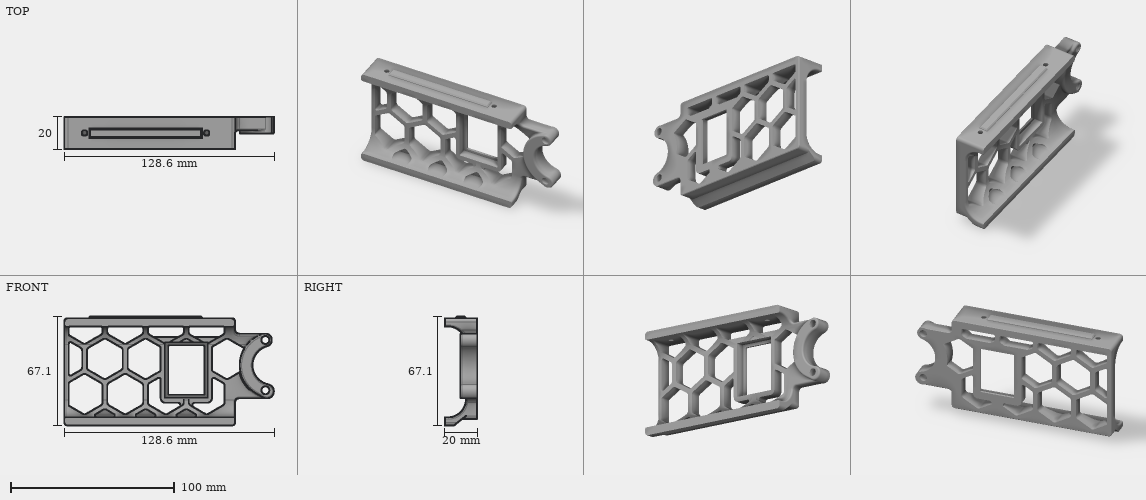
import cadquery as cq
import math

overall_length = 128.6
body_length = 104.8
body_depth = 20.0
body_top = 65.9
back_bottom = 4.0
slope_back_y = 10.5
slope_front_y = 5.5
wall_front = 12.9
lip_thickness = 5.1
cove_radius = 10.8
corner_radius = 2.0
back_chamfer = 0.4
small_radius = 1.0
foot_radius = 0.6

tolerance = 0.06

channel_low = lip_thickness
channel_high = body_top - lip_thickness
cove_front = wall_front - cove_radius

hex_pitch = 25.0
hex_flats = 21.9
cells_per_row = 4
hex_radius = 2.0
hex_border = 2.8
row_pitch = hex_pitch * math.sqrt(3) / 2
middle_row_z = 40.9
outer_row_x = 12.5
middle_row_x = outer_row_x - hex_pitch / 2

frame_column = 3
frame_x = middle_row_x + frame_column * hex_pitch
frame_half_width = 15.8
frame_low = 13.9
frame_high = 54.4
frame_radius = 3.1
crosspiece_half_width = 20.1
crosspiece_low = 51.0
foot_half_width = 3.9
foot_low = 11.8
recess_width = 26.4
recess_low = 17.0
recess_high = 51.1
recess_floor = 18.5
window_width = 22.1
window_low = 18.9
window_high = 49.1
window_radius = 0.5

pad_length = 69.2
pad_width = 5.9
pad_height = 1.2
pad_chamfer = 0.8
pad_y = 9.8
screw_diameter = 3.3
screw_y = 10.0
cove_top_clear = channel_high - cove_radius
screw_spacing = (cells_per_row - 1) * hex_pitch
pad_x = outer_row_x + screw_spacing / 2

crescent_z = 37.0
crescent_inner = 12.0
crescent_outer = 20.0
crescent_x = 127.5
crescent_front = 9.4
hole_circle = (crescent_inner + crescent_outer) / 2
hole_angle = math.radians(15)
hole_diameter = 4.8
upper_cap_radius = (crescent_outer - crescent_inner) / 2
lower_cap_radius = 4.4
lower_cap_x = overall_length - lower_cap_radius
web_radius = 2.5


def block(x0, x1, y0, y1, z0, z1):
    return cq.Workplane("XY").box(x1 - x0, y1 - y0, z1 - z0, centered=False).translate((x0, y0, z0))


def along_y(sketch, y0, y1):
    """Extrude an XZ outline made on an "XZ" workplane from y0 to y1."""
    return sketch.extrude(y0 - y1).translate((0, y0, 0))


def rounded_bar(low):
    """Body block with its four corners along Y rounded."""
    bar = block(0, body_length, 0, body_depth, low, body_top)
    return bar.edges("|Y").fillet(corner_radius)


def make_bar():
    """Body block; the underside steps up along a slope, and both levels have rounded corners."""
    slope = (slope_back_y - slope_front_y) / back_bottom
    front_top = frame_low
    front_part = (
        cq.Workplane("YZ")
        .moveTo(0, 0)
        .lineTo(slope_front_y, 0)
        .lineTo(slope_front_y + slope * front_top, front_top)
        .lineTo(0, front_top)
        .close()
        .extrude(body_length)
    )
    return rounded_bar(back_bottom).union(rounded_bar(0).intersect(front_part))


def make_channel():
    """Open space in front of the wall, with a cove towards each lip."""
    space = block(0, overall_length, -cove_radius, wall_front, channel_low, channel_high)
    return space.edges("|X and >Y").fillet(cove_radius)


def on_crescent(radius, angle, side):
    """Point at an angle from the vertical; side is 1 for the upper end, -1 for the lower."""
    return (
        crescent_x - radius * math.sin(angle),
        crescent_z + side * radius * math.cos(angle),
    )


upper_hole = on_crescent(hole_circle, hole_angle, 1)
lower_hole = on_crescent(hole_circle, hole_angle, -1)
bracket_high = upper_hole[1] + upper_cap_radius
cap_distance = crescent_inner + lower_cap_radius
lower_cap_angle = math.asin((crescent_x - lower_cap_x) / cap_distance)
lower_cap = on_crescent(cap_distance, lower_cap_angle, -1)
bracket_low = lower_cap[1] - lower_cap_radius
tail_angle = lower_cap_angle + math.acos((crescent_outer - lower_cap_radius) / cap_distance)
tail_end = (
    lower_cap[0] - lower_cap_radius * math.sin(tail_angle),
    lower_cap[1] - lower_cap_radius * math.cos(tail_angle),
)


def add_inner_side(sketch, end):
    """From the top of the upper cap round the inner arc to an end point on the lower cap."""
    return (
        sketch.threePointArc(
            (upper_hole[0] + upper_cap_radius * math.cos(hole_angle),
             upper_hole[1] + upper_cap_radius * math.sin(hole_angle)),
            on_crescent(crescent_inner, hole_angle, 1),
        )
        .threePointArc(
            (crescent_x - crescent_inner, crescent_z),
            on_crescent(crescent_inner, lower_cap_angle, -1),
        )
        .threePointArc(
            (lower_cap[0] + lower_cap_radius, lower_cap[1]),
            end,
        )
    )


def is_web_corner(edge):
    """True for the inside corners where the web leaves the body's +X end."""
    middle = edge.Center()
    at_end = abs(middle.x - body_length) < tolerance
    on_web = min(abs(middle.z - bracket_low), abs(middle.z - bracket_high)) < tolerance
    return at_end and on_web


def on_channel_end(edge):
    """True for the edges where the channel's inner surface meets the outline of the shell."""
    x, y, z = edge.Center().toTuple()
    at_left_end = x < tolerance
    at_right_end = body_length - tolerance < x < upper_hole[0]
    in_web_bore = x > body_length + web_radius and lower_hole[1] < z < upper_hole[1]
    in_channel = y < wall_front + tolerance and channel_low - tolerance < z < channel_high + tolerance
    return in_channel and (at_left_end or at_right_end) and not in_web_bore


def make_shell():
    """Channel bar with the flat bracket web, their blends and edge breaks."""
    sketch = cq.Workplane("XZ").moveTo(body_length / 2, bracket_high).lineTo(upper_hole[0], bracket_high)
    sketch = add_inner_side(sketch, (lower_cap[0], bracket_low)).lineTo(body_length / 2, bracket_low).close()
    web = along_y(sketch, 0, body_depth)
    shell = make_bar().union(web).cut(make_channel())
    shell = shell.edges("|Y").filter(is_web_corner).fillet(web_radius)
    shell = shell.faces(">Y").chamfer(back_chamfer)
    return shell.edges().filter(on_channel_end).fillet(small_radius)


def make_crescent():
    """Raised crescent with rounded ends, full depth behind its front face."""
    sketch = (
        cq.Workplane("XZ")
        .moveTo(*tail_end)
        .lineTo(*on_crescent(crescent_outer, tail_angle, -1))
        .threePointArc(
            (crescent_x - crescent_outer, crescent_z),
            on_crescent(crescent_outer, hole_angle, 1),
        )
        .threePointArc(
            (upper_hole[0] - upper_cap_radius * math.sin(hole_angle / 2),
             upper_hole[1] + upper_cap_radius * math.cos(hole_angle / 2)),
            (upper_hole[0], bracket_high),
        )
    )
    return along_y(add_inner_side(sketch, tail_end).close(), crescent_front, body_depth)


def hexagon(x, z, y0, y1):
    diameter = hex_flats / math.cos(math.pi / 6)
    corner_up = 30
    prism = along_y(cq.Workplane("XZ").polygon(6, diameter), y0, y1)
    prism = prism.rotate((0, 0, 0), (0, 1, 0), corner_up).edges("|Y").fillet(hex_radius)
    return prism.translate((x, 0, z))


def clipped_hexagon(x, z, y0, y1):
    """Hexagon cut off square at the honeycomb's border, with its new corners rounded."""
    field = block(hex_border, body_length + hex_pitch, y0, y1, channel_low, channel_high)
    cell = hexagon(x, z, y0, y1).intersect(field)

    def new_corner(edge):
        middle = edge.Center()
        gaps = (middle.x - hex_border, middle.z - channel_low, middle.z - channel_high)
        return min(abs(gap) for gap in gaps) < tolerance

    corners = cell.edges("|Y").filter(new_corner)
    return corners.fillet(small_radius) if corners.size() else cell


def make_honeycomb():
    top_z = middle_row_z + row_pitch
    lower_z = middle_row_z - row_pitch
    bottom_z = middle_row_z - 2 * row_pitch
    cells = clipped_hexagon(middle_row_x, middle_row_z, 0, body_depth)
    for column in range(cells_per_row):
        x = outer_row_x + column * hex_pitch
        cells = cells.union(clipped_hexagon(x, top_z, 0, body_depth))
        cells = cells.union(clipped_hexagon(x, lower_z, 0, body_depth))
    for column in range(1, cells_per_row + 1):
        x = middle_row_x + column * hex_pitch
        cells = cells.union(hexagon(x, middle_row_z, 0, body_depth))
    for column in range(1, cells_per_row):
        x = middle_row_x + column * hex_pitch
        cells = cells.union(clipped_hexagon(x, bottom_z, 0, wall_front))
    return cells


def frame_block(half_width, y0, y1, z0, z1):
    """Block centred on the display frame along X."""
    return block(frame_x - half_width, frame_x + half_width, y0, y1, z0, z1)


def is_foot_corner(edge):
    """True for the inside corners between the frame's lower side and its foot."""
    middle = edge.Center()
    at_foot = abs(abs(middle.x - frame_x) - foot_half_width) < tolerance
    return at_foot and abs(middle.z - frame_low) < tolerance


def make_frame():
    """Solid surround of the display window, filling the honeycomb behind the wall's front face."""
    frame = frame_block(frame_half_width, wall_front, body_depth, frame_low, frame_high)
    frame = frame.edges("|Y and <Z").fillet(frame_radius)
    foot = frame_block(foot_half_width, wall_front, body_depth, foot_low, recess_low)
    crosspiece = frame_block(crosspiece_half_width, wall_front, body_depth, crosspiece_low, frame_high)
    frame = frame.union(foot)
    frame = frame.edges("|Y").filter(is_foot_corner).fillet(small_radius)
    return frame.union(crosspiece)


def make_window():
    recess = frame_block(recess_width / 2, cove_front, recess_floor, recess_low, recess_high)
    window = frame_block(window_width / 2, recess_floor, body_depth, window_low, window_high)
    return recess.edges("|Y").fillet(window_radius).union(window.edges("|Y").fillet(window_radius))


def make_pad():
    pad = cq.Workplane("XY").box(pad_length, pad_width, pad_height, centered=(True, True, False))
    return pad.faces(">Z").edges().chamfer(pad_chamfer).translate((pad_x, pad_y, body_top))


def make_screw_holes():
    return (
        cq.Workplane("XY", origin=(pad_x, screw_y, cove_top_clear))
        .pushPoints([(-screw_spacing / 2, 0), (screw_spacing / 2, 0)])
        .circle(screw_diameter / 2)
        .extrude(body_top - cove_top_clear)
    )


def make_bracket_holes():
    holes = cq.Workplane("XZ").pushPoints([upper_hole, lower_hole]).circle(hole_diameter / 2)
    return along_y(holes, 0, body_depth)


def on_crescent_foot(edge):
    """True for the edges where the crescent's outer side rises from the wall and the upper cove."""
    middle = edge.positionAt(0.5)
    reach = math.hypot(middle.x - crescent_x, middle.z - crescent_z)
    rising = crescent_front + small_radius + tolerance < middle.y < wall_front + tolerance
    return rising and abs(reach - crescent_outer) < tolerance


def on_frame_side(edge):
    """True for the corners between the frame's sides and the honeycomb ribs."""
    middle = edge.Center()
    on_side = abs(abs(middle.x - frame_x) - frame_half_width) < tolerance
    return on_side and lower_hole[1] < middle.z < window_high


crescent = make_crescent().faces("<Y").edges().fillet(small_radius)
shell = make_shell().union(crescent)
shell = shell.edges("not |Y").filter(on_crescent_foot).fillet(foot_radius)
wall = shell.cut(make_honeycomb().cut(crescent)).union(make_frame())
wall = wall.edges("|Y").filter(on_frame_side).fillet(small_radius)
result = (
    wall
    .cut(make_window())
    .cut(make_bracket_holes())
    .union(make_pad())
    .cut(make_screw_holes())
)